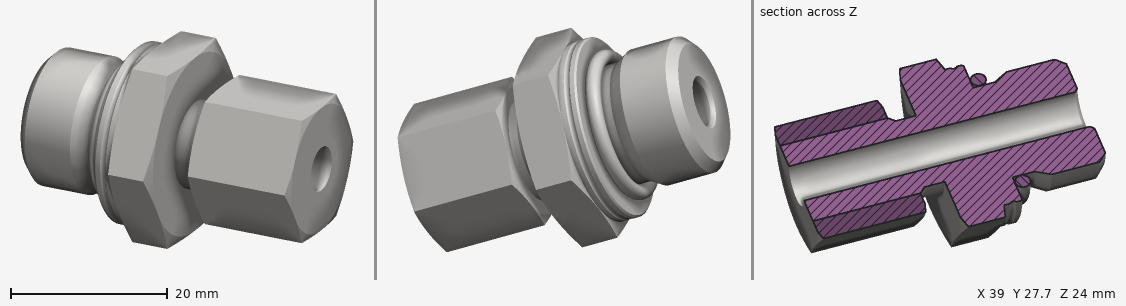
import cadquery as cq
import math


TOTAL_LENGTH = 39.0
THREAD_RADIUS = 9.0
THREAD_CHAMFER = 1.2
THREAD_END_X = 7.65
NECK_RADIUS = 7.88
RUNOUT_ANGLE = 30.0

FLANGE_START_X = 12.5
FLANGE_RADIUS = 11.9
FLANGE_CHAMFER = 0.25
GROOVE_CENTER_X = 13.8
GROOVE_WIDTH = 0.8
GROOVE_DEPTH = 0.25

HEX_START_X = 15.0
HEX_END_X = 21.0
HEX_ACROSS_FLATS = 24.0

STUD_NECK_RADIUS = 5.8
STUD_CONE_START_X = 23.67
NUT_START_X = 24.5
STUD_RADIUS = STUD_NECK_RADIUS + NUT_START_X - STUD_CONE_START_X

NUT_ACROSS_FLATS = 16.95
HEX_CHAMFER_ANGLE = 15.0

BORE_RADIUS = 2.95
BORE_CHAMFER = 0.5

SEAL_SECTION_RADIUS = 1.0


def revolved(profile):
    """Turn a closed profile, drawn as X against radius, around the X axis."""
    return profile.close().revolve(360, (0, 0, 0), (1, 0, 0))


def chamfered_hex(start_x, end_x, across_flats):
    """Hexagonal prism along X, flats facing up and down, corners turned off at both ends."""
    flat_radius = across_flats / 2
    corner_radius = flat_radius / math.cos(math.radians(30))
    chamfer_run = (corner_radius - flat_radius) * math.tan(math.radians(HEX_CHAMFER_ANGLE))
    prism = (
        cq.Workplane("YZ", origin=(start_x, 0, 0))
        .polygon(6, 2 * corner_radius)
        .extrude(end_x - start_x)
    )
    turned_envelope = revolved(
        cq.Workplane("XY")
        .moveTo(start_x, 0)
        .lineTo(start_x, flat_radius)
        .lineTo(start_x + chamfer_run, corner_radius)
        .lineTo(end_x - chamfer_run, corner_radius)
        .lineTo(end_x, flat_radius)
        .lineTo(end_x, 0)
    )
    return prism.intersect(turned_envelope)


def make_plug():
    """Threaded plug, its run-out and neck, and the grooved flange."""
    runout_length = (THREAD_RADIUS - NECK_RADIUS) / math.tan(math.radians(RUNOUT_ANGLE))
    groove_floor = (GROOVE_CENTER_X, FLANGE_RADIUS - GROOVE_DEPTH)
    groove_start_x = GROOVE_CENTER_X - GROOVE_WIDTH / 2
    groove_end_x = GROOVE_CENTER_X + GROOVE_WIDTH / 2
    return revolved(
        cq.Workplane("XY")
        .moveTo(0, 0)
        .lineTo(0, THREAD_RADIUS - THREAD_CHAMFER)
        .lineTo(THREAD_CHAMFER, THREAD_RADIUS)
        .lineTo(THREAD_END_X, THREAD_RADIUS)
        .lineTo(THREAD_END_X + runout_length, NECK_RADIUS)
        .lineTo(FLANGE_START_X, NECK_RADIUS)
        .lineTo(FLANGE_START_X, FLANGE_RADIUS - FLANGE_CHAMFER)
        .lineTo(FLANGE_START_X + FLANGE_CHAMFER, FLANGE_RADIUS)
        .lineTo(groove_start_x, FLANGE_RADIUS)
        .threePointArc(groove_floor, (groove_end_x, FLANGE_RADIUS))
        .lineTo(HEX_START_X, FLANGE_RADIUS)
        .lineTo(HEX_START_X, 0)
    )


def make_stud():
    """Stud from the hexagon to the outer face of the nut."""
    return revolved(
        cq.Workplane("XY")
        .moveTo(HEX_END_X, 0)
        .lineTo(HEX_END_X, STUD_NECK_RADIUS)
        .lineTo(STUD_CONE_START_X, STUD_NECK_RADIUS)
        .lineTo(NUT_START_X, STUD_RADIUS)
        .lineTo(TOTAL_LENGTH, STUD_RADIUS)
        .lineTo(TOTAL_LENGTH, 0)
    )


def make_bore():
    """Cutter for the through bore and its chamfered mouth."""
    return revolved(
        cq.Workplane("XY")
        .moveTo(0, 0)
        .lineTo(0, BORE_RADIUS + BORE_CHAMFER)
        .lineTo(BORE_CHAMFER, BORE_RADIUS)
        .lineTo(TOTAL_LENGTH, BORE_RADIUS)
        .lineTo(TOTAL_LENGTH, 0)
    )


def make_housing():
    """Plug, hexagon and stud in one piece, bored through."""
    hexagon = chamfered_hex(HEX_START_X, HEX_END_X, HEX_ACROSS_FLATS)
    return make_plug().union(hexagon).union(make_stud()).cut(make_bore())


def make_seal_ring():
    """O-ring seated on the neck and against the flange."""
    return cq.Solid.makeTorus(
        NECK_RADIUS + SEAL_SECTION_RADIUS,
        SEAL_SECTION_RADIUS,
        cq.Vector(FLANGE_START_X - SEAL_SECTION_RADIUS, 0, 0),
        cq.Vector(1, 0, 0),
    )


def make_nut():
    """Hexagonal nut with a hole that fits the stud."""
    stud_hole = (
        cq.Workplane("YZ", origin=(NUT_START_X, 0, 0))
        .circle(STUD_RADIUS)
        .extrude(TOTAL_LENGTH - NUT_START_X)
    )
    return chamfered_hex(NUT_START_X, TOTAL_LENGTH, NUT_ACROSS_FLATS).cut(stud_hole)


housing = make_housing()
seal_ring = make_seal_ring()
nut = make_nut()

result = cq.Compound.makeCompound([*housing.solids().vals(), seal_ring, *nut.solids().vals()])